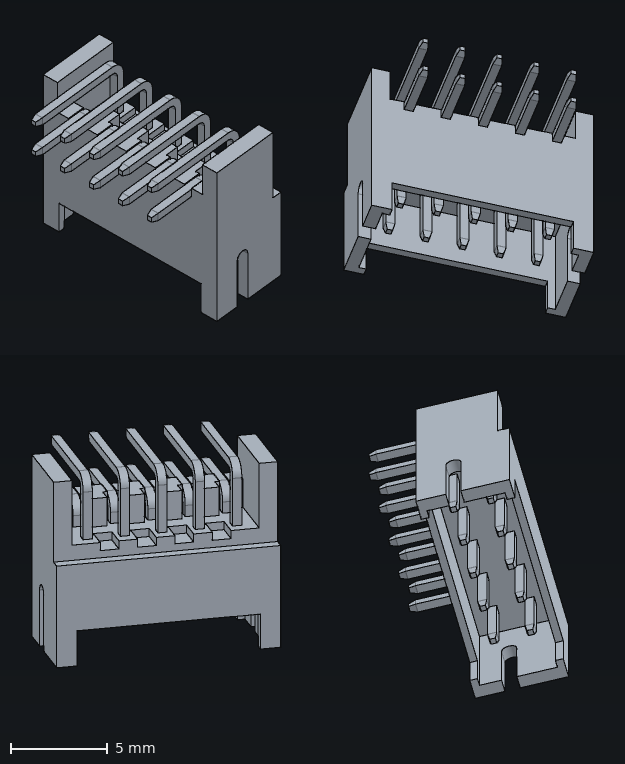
import cadquery as cq


WIDTH = 12.0
HEIGHT = 10.0
DEPTH = 5.0
DECK_HEIGHT = 8.0
POST_WIDTH = 1.0
LEDGE_HEIGHT = 5.6
LEDGE_DEPTH = 0.62
LEG_WIDTH = 1.1
LEG_HEIGHT = 1.93

SIDE_WALL = 0.7
FACE_WALL = 0.42
CAVITY_TOP = 5.28

SLOT_WIDTH = 0.8
SLOT_TOP = 3.5
SLOT_Y = 2.0

RECESS_FLOOR = 6.45
NOTCH_FLOOR = 6.0
RECESS_FRONT = 1.16
TOOTH_LENGTH = 0.85
NOTCH_LENGTH = 1.4
COMB_WIDTH = 1.0

PIN_COLUMNS = 5
PITCH = WIDTH / (PIN_COLUMNS + 1)
PIN_SIZE = 0.49
PIN_REACH = 3.0
PIN_DROP = 0.06
FRONT_ROW_Y = 1.5
BEND_RADIUS = 0.88
PIN_BOTTOM = 1.95
TIP_LENGTH = 0.41
TIP_SIZE = 0.3

POST_BACK = DEPTH - LEDGE_DEPTH
UPPER_PIN_Z = HEIGHT - PIN_DROP - PIN_SIZE / 2
LOWER_PIN_Z = UPPER_PIN_Z - PITCH
COLUMN_X = [(i - (PIN_COLUMNS - 1) / 2) * PITCH for i in range(PIN_COLUMNS)]
BETWEEN_X = [x + PITCH / 2 for x in COLUMN_X[:-1]]


def block(width, y_range, z_range, x=0):
    """Box of the given width centred on x, spanning the Y and Z ranges."""
    depth = y_range[1] - y_range[0]
    height = z_range[1] - z_range[0]
    box = cq.Workplane("XY").box(width, depth, height, centered=(True, False, False))
    return box.translate((x, y_range[0], z_range[0]))


def housing_body():
    """Outer shape: two tall end posts, a lower deck, a back ledge and legs at both ends."""
    body = block(WIDTH, (0, DEPTH), (0, HEIGHT))
    body = body.cut(block(WIDTH, (POST_BACK, DEPTH), (LEDGE_HEIGHT, HEIGHT)))
    body = body.cut(block(WIDTH - 2 * POST_WIDTH, (0, DEPTH), (DECK_HEIGHT, HEIGHT)))
    return body.cut(block(WIDTH - 2 * LEG_WIDTH, (0, DEPTH), (0, LEG_HEIGHT)))


def mating_cavity():
    """Pocket open at the bottom."""
    return block(WIDTH - 2 * SIDE_WALL, (FACE_WALL, DEPTH - FACE_WALL), (0, CAVITY_TOP))


def key_slot():
    """Round-topped slot through both side walls."""
    radius = SLOT_WIDTH / 2
    arc_start = SLOT_TOP - radius
    return (
        cq.Workplane("YZ")
        .moveTo(SLOT_Y - radius, 0)
        .lineTo(SLOT_Y - radius, arc_start)
        .threePointArc((SLOT_Y, SLOT_TOP), (SLOT_Y + radius, arc_start))
        .lineTo(SLOT_Y + radius, 0)
        .close()
        .extrude(WIDTH / 2, both=True)
    )


def deck_recess():
    """Recess open to the back, with teeth and notches between the pins and lower-pin channels."""
    levels = (RECESS_FLOOR, DECK_HEIGHT)
    recess = block(WIDTH - 2 * POST_WIDTH, (RECESS_FRONT, POST_BACK), levels)
    tooth_y = (RECESS_FRONT, RECESS_FRONT + TOOTH_LENGTH)
    notch_y = (POST_BACK - NOTCH_LENGTH, POST_BACK)
    for x in BETWEEN_X:
        recess = recess.cut(block(COMB_WIDTH, tooth_y, levels, x))
        recess = recess.union(block(COMB_WIDTH, notch_y, (NOTCH_FLOOR, RECESS_FLOOR), x))
    for x in COLUMN_X:
        recess = recess.union(block(PIN_SIZE, (0, RECESS_FRONT), (LOWER_PIN_Z, DECK_HEIGHT), x))
    return recess


def pin_tip(plane):
    """Tapered tip growing along the normal of the plane."""
    return (
        cq.Workplane(plane)
        .rect(PIN_SIZE, PIN_SIZE)
        .workplane(offset=TIP_LENGTH)
        .rect(TIP_SIZE, TIP_SIZE)
        .loft(ruled=True)
    )


def pin(row_y, arm_z):
    """Bent square pin at X = 0: vertical leg at row_y, horizontal arm at arm_z."""
    half = PIN_SIZE / 2
    arm_end = TIP_LENGTH - PIN_REACH
    leg_end = PIN_BOTTOM + TIP_LENGTH
    leg = block(PIN_SIZE, (row_y - half, row_y + half), (leg_end, arm_z + half))
    arm = block(PIN_SIZE, (arm_end, row_y + half), (arm_z - half, arm_z + half))
    bent = leg.union(arm)
    bent = bent.edges("|X and >Y and >Z").fillet(BEND_RADIUS)
    inner_corner = cq.selectors.NearestToPointSelector((0, row_y - half, arm_z - half))
    bent = bent.edges(inner_corner).fillet(BEND_RADIUS - PIN_SIZE)
    arm_tip = pin_tip(cq.Plane((0, arm_end, arm_z), (1, 0, 0), (0, -1, 0)))
    leg_tip = pin_tip(cq.Plane((0, row_y, leg_end), (1, 0, 0), (0, 0, -1)))
    return bent.union(arm_tip).union(leg_tip)


result = housing_body().cut(mating_cavity()).cut(key_slot()).cut(deck_recess())

lower_pin = pin(FRONT_ROW_Y, LOWER_PIN_Z)
upper_pin = pin(FRONT_ROW_Y + PITCH, UPPER_PIN_Z)
for column_x in COLUMN_X:
    result = result.union(lower_pin.translate((column_x, 0, 0)))
    result = result.union(upper_pin.translate((column_x, 0, 0)))